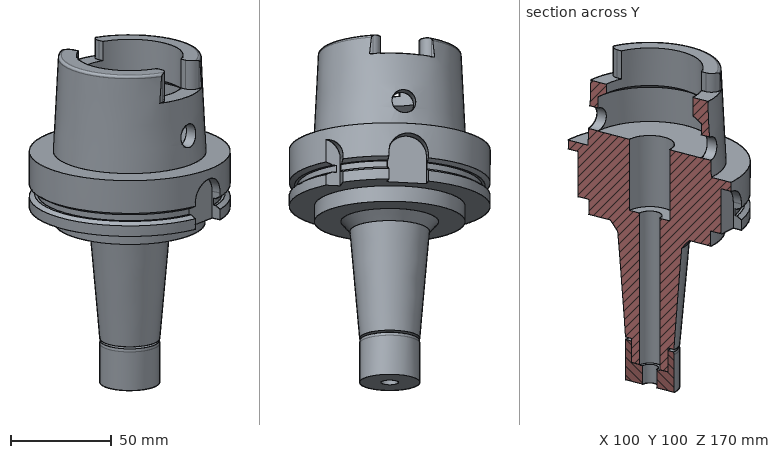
import cadquery as cq
import math


SHANK_TOP = 50.0
SHANK_BASE_RADIUS = 38.0
SHANK_TOP_RADIUS = 35.5
SHANK_RIM_FILLET = 1.5
SHANK_BORE_RADIUS = 26.5
BORE_LIP_Z = 30.0
UNDERCUT_RADIUS = 31.5
BORE_LIP_SLOPE = math.radians(30)
CAVITY_FLOOR_Z = 8.9
LIP_DROP = (UNDERCUT_RADIUS - SHANK_BORE_RADIUS) * math.tan(BORE_LIP_SLOPE)

CROSS_HOLE_RADIUS = 6.0
CROSS_HOLE_Z = 15.0

NOTCH_HALF_WIDTH = 10.0
NOTCH_FLAT_X = 32.0
NOTCH_CORNER_RADIUS = 4.8
NOTCH_DEPTHS = {-1: 10.0, 1: 15.0}

FLANGE_RADIUS = 50.0
FLANGE_BOTTOM_Z = -29.0
GROOVE_RADIUS = 46.0
GROOVE_TOP_Z = -18.5
GROOVE_BOTTOM_Z = -22.0
GROOVE_CHAMFER_WIDTH = 2.6
GROOVE_CHAMFER_HEIGHT = 1.5

SLOT_WIDTH = 20.0
SLOT_CENTRE_Z = -15.0
KEYWAY_FLOOR_X = 44.0
INDEX_SLOT_FLOOR_X = 31.9
INDEX_SLOT_Y = 41.3

COLLAR_RADIUS = 37.5
COLLAR_BOTTOM_Z = -37.0
FLARE_TOP_RADIUS = 24.3
NOSE_TOP_RADIUS = 19.8
NOSE_TOP_Z = -42.0
NOSE_END_RADIUS = 15.0
NOSE_END_Z = -97.2

NECK_RADIUS = 11.3
NECK_END_Z = -110.0
SOCKET_RADIUS = 12.2
SOCKET_BOTTOM_Z = -29.0
THROUGH_BORE_RADIUS = 6.1

NUT_RADIUS = 15.0
NUT_TOP_Z = -98.3
NUT_BOTTOM_Z = -120.0
NUT_CHAMFER_HEIGHT = 1.5
NUT_CHAMFER_INSET = 0.2
NUT_BORE_RADIUS = 4.3


def revolve_profile(points):
    """Revolve a closed (radius, height) outline about the Z axis."""
    return cq.Workplane("YZ").polyline(points).close().revolve(360, (0, 0), (0, 1))


def make_blank():
    """Solid outer form of the holder, from the shank rim to the neck end."""
    outline = [
        (0, SHANK_TOP),
        (SHANK_TOP_RADIUS, SHANK_TOP),
        (SHANK_BASE_RADIUS, 0),
        (FLANGE_RADIUS, 0),
        (FLANGE_RADIUS, GROOVE_TOP_Z + GROOVE_CHAMFER_HEIGHT),
        (FLANGE_RADIUS - GROOVE_CHAMFER_WIDTH, GROOVE_TOP_Z),
        (GROOVE_RADIUS, GROOVE_TOP_Z),
        (GROOVE_RADIUS, GROOVE_BOTTOM_Z),
        (FLANGE_RADIUS - GROOVE_CHAMFER_WIDTH, GROOVE_BOTTOM_Z),
        (FLANGE_RADIUS, GROOVE_BOTTOM_Z - GROOVE_CHAMFER_HEIGHT),
        (FLANGE_RADIUS, FLANGE_BOTTOM_Z),
        (COLLAR_RADIUS, FLANGE_BOTTOM_Z),
        (COLLAR_RADIUS, COLLAR_BOTTOM_Z),
        (FLARE_TOP_RADIUS, COLLAR_BOTTOM_Z),
        (NOSE_TOP_RADIUS, NOSE_TOP_Z),
        (NOSE_END_RADIUS, NOSE_END_Z),
        (NECK_RADIUS, NOSE_END_Z),
        (NECK_RADIUS, NECK_END_Z),
        (0, NECK_END_Z),
    ]
    return revolve_profile(outline).faces(">Z").edges().fillet(SHANK_RIM_FILLET)


def make_cavity():
    """Undercut shank bore, socket and through bore as one cutting solid."""
    outline = [
        (0, SHANK_TOP),
        (SHANK_BORE_RADIUS, SHANK_TOP),
        (SHANK_BORE_RADIUS, BORE_LIP_Z),
        (UNDERCUT_RADIUS, BORE_LIP_Z - LIP_DROP),
        (UNDERCUT_RADIUS, CAVITY_FLOOR_Z),
        (SOCKET_RADIUS, CAVITY_FLOOR_Z),
        (SOCKET_RADIUS, SOCKET_BOTTOM_Z),
        (THROUGH_BORE_RADIUS, SOCKET_BOTTOM_Z),
        (THROUGH_BORE_RADIUS, NECK_END_Z),
        (0, NECK_END_Z),
    ]
    return revolve_profile(outline)


def make_notch(side, depth):
    """Rim notch whose walls turn outward on a round corner into a flat."""
    r = NOTCH_CORNER_RADIUS
    w = NOTCH_HALF_WIDTH
    x_turn = NOTCH_FLAT_X - r
    outline = (
        cq.Workplane("XY", origin=(0, 0, SHANK_TOP - depth))
        .moveTo(0, -w)
        .lineTo(side * x_turn, -w)
        .radiusArc((side * NOTCH_FLAT_X, -w - r), side * r)
        .lineTo(side * NOTCH_FLAT_X, -FLANGE_RADIUS)
        .lineTo(side * FLANGE_RADIUS, -FLANGE_RADIUS)
        .lineTo(side * FLANGE_RADIUS, FLANGE_RADIUS)
        .lineTo(side * NOTCH_FLAT_X, FLANGE_RADIUS)
        .lineTo(side * NOTCH_FLAT_X, w + r)
        .radiusArc((side * x_turn, w), side * r)
        .lineTo(0, w)
        .close()
    )
    return outline.extrude(depth)


def make_side_slot(side, floor_x, centre_y):
    """Round-topped slot cut in from one X side and open at the flange bottom."""
    w = SLOT_WIDTH / 2
    profile = (
        cq.Workplane("YZ", origin=(side * floor_x, 0, 0))
        .moveTo(centre_y - w, FLANGE_BOTTOM_Z)
        .lineTo(centre_y - w, SLOT_CENTRE_Z)
        .threePointArc((centre_y, SLOT_CENTRE_Z + w), (centre_y + w, SLOT_CENTRE_Z))
        .lineTo(centre_y + w, FLANGE_BOTTOM_Z)
        .close()
    )
    return profile.extrude(side * FLANGE_RADIUS)


def make_cross_hole():
    """Hole along X through both sides of the shank wall."""
    return (
        cq.Workplane("YZ", origin=(-FLANGE_RADIUS, 0, CROSS_HOLE_Z))
        .circle(CROSS_HOLE_RADIUS)
        .extrude(2 * FLANGE_RADIUS)
    )


def make_holder():
    holder = make_blank().cut(make_cavity()).cut(make_cross_hole())
    for side, depth in NOTCH_DEPTHS.items():
        holder = holder.cut(make_notch(side, depth))
        holder = holder.cut(make_side_slot(side, KEYWAY_FLOOR_X, 0))
    return holder.cut(make_side_slot(-1, INDEX_SLOT_FLOOR_X, INDEX_SLOT_Y))


def make_nut():
    outline = [
        (NECK_RADIUS, NUT_TOP_Z),
        (NUT_RADIUS - NUT_CHAMFER_INSET, NUT_TOP_Z),
        (NUT_RADIUS, NUT_TOP_Z - NUT_CHAMFER_HEIGHT),
        (NUT_RADIUS, NUT_BOTTOM_Z),
        (NUT_BORE_RADIUS, NUT_BOTTOM_Z),
        (NUT_BORE_RADIUS, NECK_END_Z),
        (NECK_RADIUS, NECK_END_Z),
    ]
    return revolve_profile(outline)


holder = make_holder()
nut = make_nut()
result = cq.Compound.makeCompound([holder.val(), nut.val()])